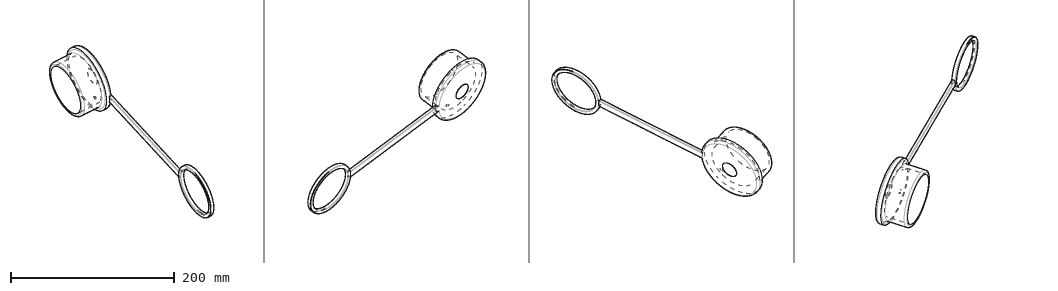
import cadquery as cq
import math

flange_radius = 43.0
flange_thickness = 8.0
flange_edge_radius = 3.0
plug_radius = 37.0
plug_length = 31.0
plug_root_radius = 3.0
plug_tip_radius = 2.5
wall_thickness = 5.0
floor_thickness = 8.0
bore_floor_fillet = 1.0

pad_radius = 10.5
pad_height = 0.5

dimple_radius = 2.5
dimple_depth = 0.5
dimple_offset = 17.1

strap_width = 10.0
strap_thickness = 4.0
strap_edge_radius = 0.5
ring_outer_radius = 35.0
ring_inner_radius = 30.0
ring_thickness = 5.0
ring_edge_radius = 0.5
overall_length = 305.64

bore_radius = plug_radius - wall_thickness
back_y = 0.0
underside_y = back_y - flange_thickness
tip_y = underside_y - plug_length
floor_y = back_y - floor_thickness
ring_center_x = overall_length - flange_radius - ring_outer_radius
strap_center_y = back_y - strap_thickness / 2
ARC_MIDPOINT = math.sqrt(0.5)


def disc(radius, y_start, y_end):
    """Cylinder about the Y axis from y_start up to y_end."""
    return cq.Workplane("XZ", origin=(0, y_end, 0)).circle(radius).extrude(y_end - y_start)


def make_cap_body():
    """Turned outside of the cap with its rounded edges."""
    edge = flange_edge_radius
    root = plug_root_radius
    tip = plug_tip_radius
    back_rim = flange_radius - edge
    outline = (
        cq.Workplane("XY")
        .moveTo(0, tip_y)
        .lineTo(plug_radius - tip, tip_y)
        .threePointArc(
            (plug_radius - tip + tip * ARC_MIDPOINT, tip_y + tip - tip * ARC_MIDPOINT),
            (plug_radius, tip_y + tip),
        )
        .lineTo(plug_radius, underside_y - root)
        .threePointArc(
            (plug_radius + root - root * ARC_MIDPOINT, underside_y - root + root * ARC_MIDPOINT),
            (plug_radius + root, underside_y),
        )
        .lineTo(flange_radius, underside_y)
        .lineTo(flange_radius, back_y - edge)
        .threePointArc(
            (back_rim + edge * ARC_MIDPOINT, back_y - edge + edge * ARC_MIDPOINT),
            (back_rim, back_y),
        )
        .lineTo(0, back_y)
        .close()
    )
    return outline.revolve(360, (0, 0, 0), (0, 1, 0))


def make_bore():
    """Straight cavity of the plug with a rounded floor corner."""
    return disc(bore_radius, tip_y, floor_y).faces(">Y").edges().fillet(bore_floor_fillet)


def make_pad():
    """Low round pad on the flat back, rooted inside the cap floor."""
    return disc(pad_radius, back_y - floor_thickness / 2, back_y + pad_height)


def make_dimple():
    """Shallow round recess in the bore floor."""
    dimple = disc(dimple_radius, floor_y, floor_y + dimple_depth)
    return dimple.translate((dimple_offset, 0, -dimple_offset))


def make_ring():
    """Flat ring with rounded edges, centred on the strap thickness."""
    half = ring_thickness / 2
    ring = disc(ring_outer_radius, -half, half).cut(disc(ring_inner_radius, -half, half))
    ring = ring.faces("<Y or >Y").edges().fillet(ring_edge_radius)
    return ring.translate((ring_center_x, strap_center_y, 0))


def make_strap():
    """Rounded bar from inside the flange rim to the middle of the ring section."""
    start_x = plug_radius
    end_x = ring_center_x - (ring_outer_radius + ring_inner_radius) / 2
    bar = cq.Workplane("XY").box(end_x - start_x, strap_thickness, strap_width)
    bar = bar.edges("|X").fillet(strap_edge_radius)
    return bar.translate(((start_x + end_x) / 2, strap_center_y, 0))


cap = make_cap_body().union(make_pad()).union(make_strap()).cut(make_bore()).cut(make_dimple())
result = cap.union(make_ring())